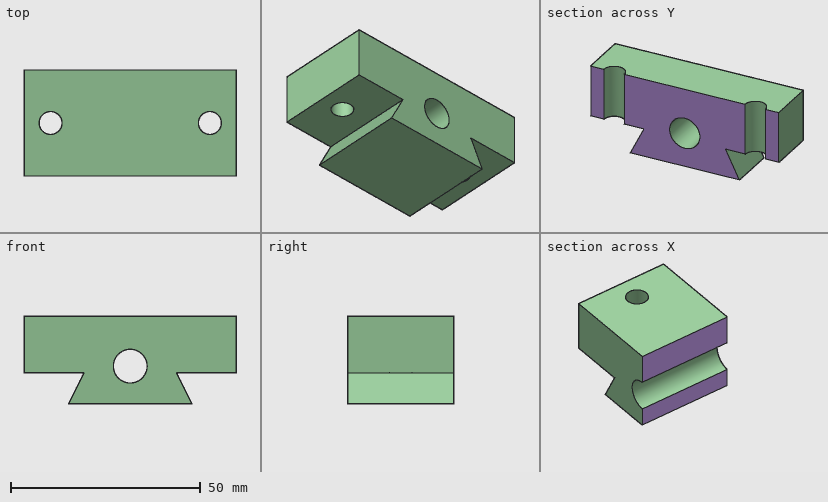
import cadquery as cq

length = 56.0
width = 28.0
total_height = 23.2
block_height = 15.0

rail_neck_width = 24.5
rail_base_width = 32.6

cross_hole_diameter = 8.85
cross_hole_depth_below_top = 13.2
mount_hole_diameter = 6.0
mount_hole_spacing = 42.0

rail_height = total_height - block_height


def make_block():
    return (
        cq.Workplane("XY")
        .workplane(offset=rail_height)
        .box(length, width, block_height, centered=(True, True, False))
    )


def make_rail():
    """Dovetail that widens downwards, running the full width in Y."""
    outline = [
        (-rail_base_width / 2, 0),
        (rail_base_width / 2, 0),
        (rail_neck_width / 2, rail_height),
        (-rail_neck_width / 2, rail_height),
    ]
    return cq.Workplane("XZ").polyline(outline).close().extrude(width / 2, both=True)


def make_cross_hole():
    """Bore along Y, through the block and the rail."""
    return (
        cq.Workplane("XZ")
        .center(0, total_height - cross_hole_depth_below_top)
        .circle(cross_hole_diameter / 2)
        .extrude(width / 2, both=True)
    )


def make_mount_holes():
    """Two vertical holes through the block, outboard of the rail."""
    return (
        cq.Workplane("XY")
        .pushPoints([(-mount_hole_spacing / 2, 0), (mount_hole_spacing / 2, 0)])
        .circle(mount_hole_diameter / 2)
        .extrude(total_height)
    )


result = make_block().union(make_rail()).cut(make_cross_hole()).cut(make_mount_holes())